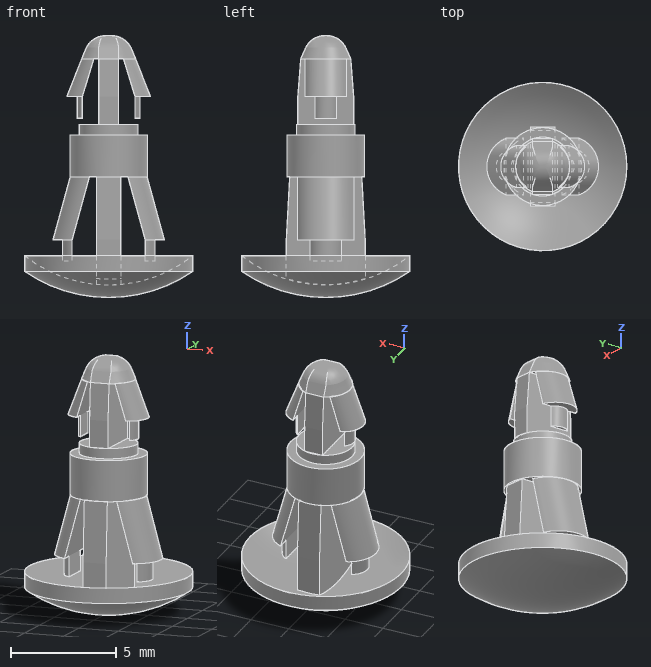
import cadquery as cq
import math

rim_bottom_z = 1.25
rim_thickness = 0.75
dish_wall_thickness = 0.6
rim_top_z = rim_bottom_z + rim_thickness
lower_tab_bottom_z = 1.74
lower_barb_z = 2.74
collar_bottom_z = 5.74
collar_height = 1.99
collar_top_z = collar_bottom_z + collar_height
boss_height = 0.5
boss_top_z = collar_top_z + boss_height
upper_tab_bottom_z = 8.52
upper_barb_z = 9.55
head_bottom_z = 11.34
dome_bottom_z = 11.86
top_z = 12.45

dish_radius = 8.0 / 2
collar_radius = 3.7 / 2
boss_radius = 2.8 / 2

lower_rib_thickness = 1.17
lower_rib_bottom_half_width = 1.88
lower_rib_top_half_width = 1.72
upper_rib_thickness = 0.95
upper_rib_bottom_half_width = 1.33
upper_rib_top_half_width = 1.2

lower_leg_half_width = 1.35
lower_leg_top_inner = 0.91
lower_leg_top_outer = 1.83
lower_leg_barb_inner = 1.73
lower_leg_barb_outer = 2.65
lower_tab_outer = 2.2
lower_tab_half_width = 0.76

upper_leg_half_width = 1.0
upper_leg_top_inner = 0.7
upper_leg_barb_inner = 1.25
upper_leg_barb_outer = 1.99
upper_tab_outer = 1.5
upper_tab_half_width = 0.51

head_bottom_radius = math.hypot(upper_rib_top_half_width, upper_rib_thickness / 2)
dome_radius = 1.07
head_tip_radius = 0.14
dome_half_width = 0.96
head_tip_half_width = 0.04


def cap_prism(pole_z, rim_z):
    """Round solid with a spherical underside from pole_z to rim_z, reaching up to the collar."""
    rise = rim_z - pole_z
    cap_radius = (dish_radius**2 + rise**2) / (2 * rise)
    mid_x = dish_radius / 2
    mid_z = pole_z + cap_radius - math.sqrt(cap_radius**2 - mid_x**2)
    return (
        cq.Workplane("XZ")
        .moveTo(0, pole_z)
        .threePointArc((mid_x, mid_z), (dish_radius, rim_z))
        .lineTo(dish_radius, collar_bottom_z)
        .lineTo(0, collar_bottom_z)
        .close()
        .revolve(360, (0, 0), (0, 1))
    )


def make_dish():
    """Spring dish, hollow on top and domed underneath."""
    return cap_prism(0, rim_bottom_z).cut(cap_prism(dish_wall_thickness, rim_top_z))


def cylinder(radius, bottom_z, height):
    return cq.Workplane("XY").workplane(offset=bottom_z).circle(radius).extrude(height)


def rib(thickness, foot_z, break_z, end_z, bottom_half_width, top_half_width):
    """Flat rib, straight from foot_z to break_z and tapering from there to end_z."""
    right_edge = [(bottom_half_width, foot_z), (bottom_half_width, break_z), (top_half_width, end_z)]
    left_edge = [(-y, z) for y, z in reversed(right_edge)]
    return cq.Workplane("YZ").polyline(right_edge + left_edge).close().extrude(thickness / 2, both=True)


def segment(work, inner_x, outer_x, half_width):
    """Circular segment with its chord at inner_x and its crown at outer_x."""
    start = work.moveTo(inner_x, -half_width)
    return start.threePointArc((outer_x, 0), (inner_x, half_width)).close()


def leg(root_z, top_inner, top_outer, barb_z, barb_inner, barb_outer, half_width):
    work = segment(cq.Workplane("XY").workplane(offset=barb_z), barb_inner, barb_outer, half_width)
    work = work.workplane(offset=root_z - barb_z)
    return segment(work, top_inner, top_outer, half_width).loft(ruled=True)


def tab(bottom_z, end_z, inner_x, outer_x, half_width):
    work = cq.Workplane("XY").workplane(offset=bottom_z)
    return segment(work, inner_x, outer_x, half_width).extrude(end_z - bottom_z)


def dome_outline(plane, bottom_size, dome_size, tip_size):
    """Right half of the head outline: a sloping side, then an arc that ends level at the tip."""
    rise = top_z - dome_bottom_z
    run = dome_size - tip_size
    arc_radius = (run**2 + rise**2) / (2 * rise)
    mid_angle = math.asin(run / arc_radius) / 2
    arc_mid = (
        tip_size + arc_radius * math.sin(mid_angle),
        top_z - arc_radius * (1 - math.cos(mid_angle)),
    )
    return (
        cq.Workplane(plane)
        .moveTo(0, head_bottom_z)
        .lineTo(bottom_size, head_bottom_z)
        .lineTo(dome_size, dome_bottom_z)
        .threePointArc(arc_mid, (tip_size, top_z))
        .lineTo(0, top_z)
        .close()
    )


def make_head():
    turned = dome_outline("XZ", head_bottom_radius, dome_radius, head_tip_radius)
    turned = turned.revolve(360, (0, 0), (0, 1))
    half = dome_outline("YZ", upper_rib_top_half_width, dome_half_width, head_tip_half_width)
    half = half.extrude(head_bottom_radius, both=True)
    return turned.intersect(half.union(half.mirror("XZ")))


def make_post():
    """Snap-in post: lower barbs, collar, boss, upper barbs and head, standing in the dish."""
    post = cylinder(collar_radius, collar_bottom_z, collar_height)
    post = post.union(cylinder(boss_radius, collar_top_z, boss_height))
    post = post.union(make_head())
    post = post.union(rib(
        upper_rib_thickness, boss_top_z, upper_barb_z, head_bottom_z,
        upper_rib_bottom_half_width, upper_rib_top_half_width,
    ))
    post = post.union(rib(
        lower_rib_thickness, 0, lower_barb_z, collar_bottom_z,
        lower_rib_bottom_half_width, lower_rib_top_half_width,
    ))

    lower_leg = leg(
        collar_bottom_z, lower_leg_top_inner, lower_leg_top_outer,
        lower_barb_z, lower_leg_barb_inner, lower_leg_barb_outer, lower_leg_half_width,
    )
    lower_tab = tab(
        lower_tab_bottom_z, lower_barb_z, lower_leg_barb_inner, lower_tab_outer, lower_tab_half_width,
    )
    upper_leg = leg(
        head_bottom_z, upper_leg_top_inner, head_bottom_radius,
        upper_barb_z, upper_leg_barb_inner, upper_leg_barb_outer, upper_leg_half_width,
    )
    upper_tab = tab(
        upper_tab_bottom_z, upper_barb_z, upper_leg_barb_inner, upper_tab_outer, upper_tab_half_width,
    )
    for piece in (lower_leg, lower_tab, upper_leg, upper_tab):
        post = post.union(piece).union(piece.mirror("YZ"))

    below_hollow = cylinder(dish_radius, 0, rim_top_z).cut(cap_prism(dish_wall_thickness, rim_top_z))
    return post.cut(below_hollow)


dish = make_dish()
post = make_post()
result = cq.Compound.makeCompound([*dish.solids().vals(), *post.solids().vals()])